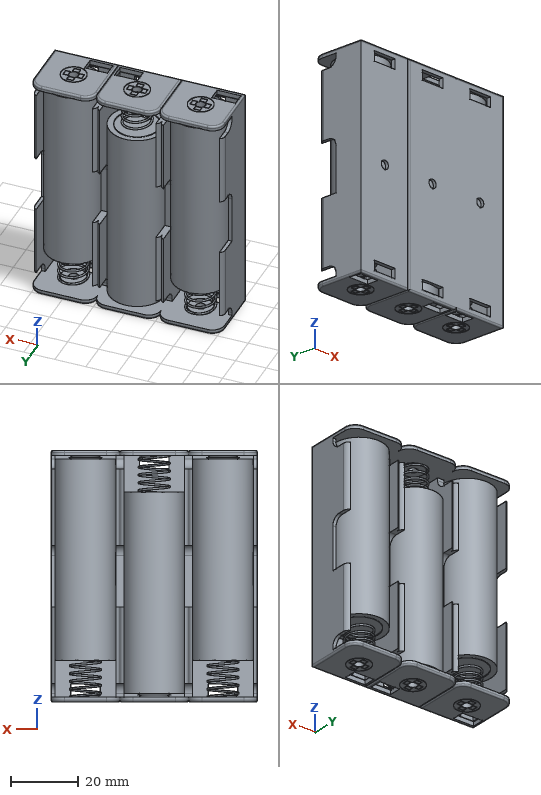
import cadquery as cq

LENGTH = 75.0
WIDTH = 61.5
DEPTH = 20.0
CELL_COUNT = 3
PITCH = WIDTH / CELL_COUNT
HALF_LENGTH = LENGTH / 2
FLOOR_FACE = -DEPTH / 2

END_THICKNESS = 1.5
SIDE_WALL = 1.2
FLOOR_THICKNESS = 1.5
WALL_TOP = 7.5
WALL_RADIUS = 2.0
PLATE_RADIUS = 4.0
EDGE_ROUND = 0.6
ROUNDED_FLOOR_EDGES = [(0, 1), (1, -1), (2, 1)]

CUTOUT_BOTTOM = 0.4
CUTOUT_RADIUS = 3.0
GRIP_HALF_LENGTH = 9.15
END_CUTOUT_LENGTH = 4.0

HOLE_DIAMETER = 3.0
FLOOR_WINDOW_WIDTH = 8.8
FLOOR_WINDOW_LENGTH = 3.4
FLOOR_WINDOW_OFFSET = 33.8
END_WINDOW_WIDTH = 7.35
FIRST_WINDOW_EXTRA = 0.3
END_WINDOW_DEPTH = 4.3
END_WINDOW_X = 5.4
END_WINDOW_Y = -6.5

TERMINAL_DIAMETER = 8.0
TERMINAL_RECESS = 0.15
TERMINAL_HEAD = 0.45
PAD_WIDTH = 2.0
PAD_LENGTH = 1.5

BATTERY_DIAMETER = 18.0
BATTERY_LENGTH = 60.0
BATTERY_END_GAP = 2.55
CONTACT_RADII = [4.95, 4.5]
NEGATIVE_RIM_DIAMETER = 14.0
NEGATIVE_RECESS = 0.3
SPRING_DIAMETER = 9.0
SPRING_PITCH = 2.3
WIRE_DIAMETER = 0.6

POSITIVE_FACE = HALF_LENGTH - BATTERY_END_GAP
NEGATIVE_FACE = POSITIVE_FACE - BATTERY_LENGTH
PLATE_INNER_FACE = HALF_LENGTH - END_THICKNESS


def box(x_size, y_range, z_range):
    """Box centred on X that fills the given Y and Z ranges."""
    y_size = y_range[1] - y_range[0]
    z_size = z_range[1] - z_range[0]
    solid = cq.Workplane("XY").box(x_size, y_size, z_size)
    return solid.translate((0, sum(y_range) / 2, sum(z_range) / 2))


def cylinder(diameter, z_start, z_end):
    """Cylinder on the Z axis."""
    return cq.Workplane("XY").workplane(offset=z_start).circle(diameter / 2).extrude(z_end - z_start)


def both_ends(top):
    """Shape at the upper end together with its mirror image at the lower end."""
    return top.union(top.mirror("XY"))


def trough():
    """U-shaped channel with grip and end cutouts in both side walls."""
    outer = box(PITCH, (FLOOR_FACE, WALL_TOP), (-PLATE_INNER_FACE, PLATE_INNER_FACE))
    outer = outer.edges("|Z and >Y").fillet(WALL_RADIUS)
    inside = box(PITCH - 2 * SIDE_WALL, (FLOOR_FACE + FLOOR_THICKNESS, DEPTH), (-HALF_LENGTH, HALF_LENGTH))
    grip = box(2 * PITCH, (CUTOUT_BOTTOM, DEPTH), (-GRIP_HALF_LENGTH, GRIP_HALF_LENGTH))
    grip = grip.edges("|X and <Y and >Z").fillet(CUTOUT_RADIUS)
    end_cutout = box(2 * PITCH, (CUTOUT_BOTTOM, DEPTH), (PLATE_INNER_FACE - END_CUTOUT_LENGTH, HALF_LENGTH))
    end_cutout = end_cutout.edges("|X and <Y and <Z").fillet(CUTOUT_RADIUS)
    return outer.cut(inside).cut(grip).cut(both_ends(end_cutout))


def end_plate():
    """Upper end plate with its terminal rivet: a shallow recess, four pads and an inner head."""
    plate = box(PITCH, (FLOOR_FACE, -FLOOR_FACE), (PLATE_INNER_FACE, HALF_LENGTH))
    plate = plate.edges("|Z and >Y").fillet(PLATE_RADIUS)
    plate = plate.faces(">Z").edges().fillet(EDGE_ROUND)
    recess = cylinder(TERMINAL_DIAMETER, HALF_LENGTH - TERMINAL_RECESS, HALF_LENGTH)
    pads = (
        cq.Workplane("XY")
        .workplane(offset=HALF_LENGTH - TERMINAL_RECESS)
        .polarArray((HOLE_DIAMETER + PAD_LENGTH) / 2, 0, 360, 4)
        .rect(PAD_LENGTH, PAD_WIDTH)
        .extrude(TERMINAL_RECESS)
    )
    head = cylinder(TERMINAL_DIAMETER, PLATE_INNER_FACE - TERMINAL_HEAD, PLATE_INNER_FACE)
    return plate.cut(recess).union(pads).union(head)


def battery():
    """Battery with its positive end up, joined to the upper end plate by a stack of tapered discs."""
    body = cylinder(BATTERY_DIAMETER, NEGATIVE_FACE, POSITIVE_FACE)
    body = body.cut(cylinder(NEGATIVE_RIM_DIAMETER, NEGATIVE_FACE, NEGATIVE_FACE + NEGATIVE_RECESS))
    disc_height = (PLATE_INNER_FACE - POSITIVE_FACE) / len(CONTACT_RADII)
    for level, radius in enumerate(CONTACT_RADII):
        z_start = POSITIVE_FACE + level * disc_height
        disc = cq.Solid.makeCone(radius - disc_height, radius, disc_height, pnt=cq.Vector(0, 0, z_start))
        body = body.union(cq.Workplane(disc))
    return body


def spring():
    """Coil spring from the lower end plate to the negative end of the battery."""
    start = -PLATE_INNER_FACE
    length = NEGATIVE_FACE + NEGATIVE_RECESS - start
    helix = cq.Wire.makeHelix(SPRING_PITCH, length, SPRING_DIAMETER / 2)
    wire_section = cq.Workplane("XZ").center(SPRING_DIAMETER / 2, 0).circle(WIRE_DIAMETER / 2)
    coil = wire_section.sweep(cq.Workplane(helix), isFrenet=True)
    return coil.translate((0, 0, start))


def floor_openings():
    """Centre hole and one window near each end of the floor."""
    hole = cylinder(HOLE_DIAMETER, -FLOOR_THICKNESS, FLOOR_THICKNESS)
    hole = hole.rotate((0, 0, 0), (1, 0, 0), 90).translate((0, FLOOR_FACE, 0))
    z_start = FLOOR_WINDOW_OFFSET - FLOOR_WINDOW_LENGTH / 2
    z_end = FLOOR_WINDOW_OFFSET + FLOOR_WINDOW_LENGTH / 2
    window = box(FLOOR_WINDOW_WIDTH, (FLOOR_FACE, FLOOR_FACE + FLOOR_THICKNESS), (z_start, z_end))
    return hole.union(both_ends(window))


def end_windows(side, extra_width):
    """Windows through both end plates on the given X side, widened outwards by extra_width."""
    y_start = END_WINDOW_Y - END_WINDOW_DEPTH / 2
    y_end = END_WINDOW_Y + END_WINDOW_DEPTH / 2
    window = box(END_WINDOW_WIDTH + extra_width, (y_start, y_end), (PLATE_INNER_FACE, HALF_LENGTH))
    return both_ends(window.translate((side * (END_WINDOW_X + extra_width / 2), 0, 0)))


def floor_edge_trim(side):
    """Material outside a rounded long edge of the floor, on the given X side."""
    z_range = (-HALF_LENGTH, HALF_LENGTH)
    corner = box(2 * EDGE_ROUND, (FLOOR_FACE - EDGE_ROUND, FLOOR_FACE + EDGE_ROUND), z_range)
    corner = corner.translate((side * PITCH / 2, 0, 0))
    keep = box(PITCH, (FLOOR_FACE, -FLOOR_FACE), z_range).edges("|Z").fillet(EDGE_ROUND)
    return corner.cut(keep)


def cell(index):
    """One bay, centred on X; every second bay holds its battery upside down."""
    flip = index % 2 == 1
    body = trough().union(both_ends(end_plate()))
    window_side = 1 if flip else -1
    extra_width = FIRST_WINDOW_EXTRA if index == 0 else 0
    body = body.cut(floor_openings()).cut(end_windows(window_side, extra_width))
    for edge_index, side in ROUNDED_FLOOR_EDGES:
        if edge_index == index:
            body = body.cut(floor_edge_trim(side))
    contents = battery().union(spring())
    if flip:
        contents = contents.rotate((0, 0, 0), (0, 1, 0), 180)
    terminal_bore = cylinder(HOLE_DIAMETER, POSITIVE_FACE, HALF_LENGTH)
    return body.union(contents).cut(both_ends(terminal_bore))


result = cq.Workplane("XY")
for cell_index in range(CELL_COUNT):
    cell_x = (cell_index - (CELL_COUNT - 1) / 2) * PITCH
    result = result.union(cell(cell_index).translate((cell_x, 0, 0)))